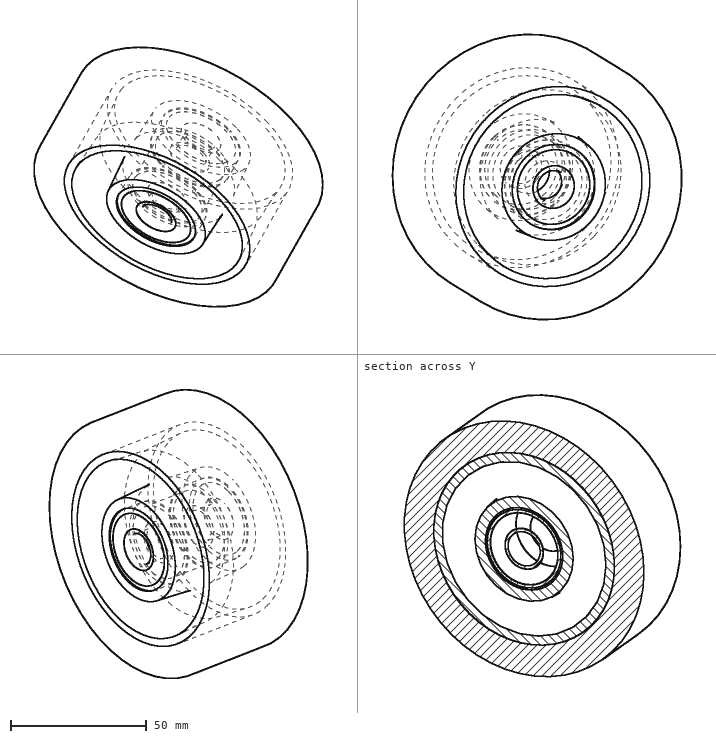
import cadquery as cq

tyre_radius = 50.0
tyre_width = 38.0
tyre_edge_fillet = 0.5
tyre_bore_radius = 37.5

hub_width = 40.0
hub_face_radius = 20.0
hub_root_radius = 21.0
rim_face_radius = 34.5
rim_root_radius = 33.5
web_thickness = 6.0
web_fillet = 1.0

bearing_radius = 16.0
bearing_bore_radius = 6.0
bearing_width = 10.0
bearing_edge_fillet = 1.0
shield_inner_radius = 8.0
shield_outer_radius = 14.0
shield_recess = 0.1
shoulder_bore_radius = 14.0


def ring(outer_radius, inner_radius, y_start, y_end):
    """Plain ring about the Y axis between two Y positions."""
    return (
        cq.Workplane("XZ", origin=(0, y_start, 0))
        .circle(outer_radius)
        .circle(inner_radius)
        .extrude(y_start - y_end)
    )


def make_tyre():
    tyre = ring(tyre_radius, tyre_bore_radius, -tyre_width / 2, tyre_width / 2)
    outer_edges = cq.selectors.RadiusNthSelector(-1)
    return tyre.edges(outer_edges).fillet(tyre_edge_fillet)


def dish(side):
    """Tapered annular recess between hub and rim, with a rounded floor; side is -1 or 1."""
    floor_y = side * web_thickness / 2
    hub_face_y = side * hub_width / 2
    rim_face_y = side * tyre_width / 2
    profile = [
        (hub_root_radius, floor_y),
        (rim_root_radius, floor_y),
        (rim_face_radius, rim_face_y),
        (tyre_bore_radius, rim_face_y),
        (tyre_bore_radius, hub_face_y),
        (hub_face_radius, hub_face_y),
    ]
    recess = cq.Workplane("XY").polyline(profile).close().revolve(360, (0, 0, 0), (0, 1, 0))
    floor_face = ">Y" if side < 0 else "<Y"
    return recess.faces(floor_face).edges().fillet(web_fillet)


def make_wheel_core():
    core = ring(tyre_bore_radius, shoulder_bore_radius, -hub_width / 2, hub_width / 2)
    for side in (-1, 1):
        hub_face_y = side * hub_width / 2
        seat_y = side * (hub_width / 2 - bearing_width)
        seat = ring(bearing_radius, bearing_bore_radius, seat_y, hub_face_y)
        core = core.cut(dish(side)).cut(seat)
    return core


def make_bearing(side):
    """Shielded bearing flush with the hub face; side is -1 or 1."""
    outer_y = side * hub_width / 2
    inner_y = side * (hub_width / 2 - bearing_width)
    bearing = ring(bearing_radius, bearing_bore_radius, inner_y, outer_y)
    bearing = bearing.faces("<Y or >Y").edges().fillet(bearing_edge_fillet)
    for face_y, inward in ((outer_y, -side), (inner_y, side)):
        recess_floor_y = face_y + inward * shield_recess
        bearing = bearing.cut(ring(shield_outer_radius, shield_inner_radius, face_y, recess_floor_y))
    return bearing


tyre = make_tyre()
wheel_core = make_wheel_core()
bearings = [make_bearing(side) for side in (-1, 1)]

result = cq.Compound.makeCompound(
    [tyre.val(), wheel_core.val(), *[bearing.val() for bearing in bearings]]
)